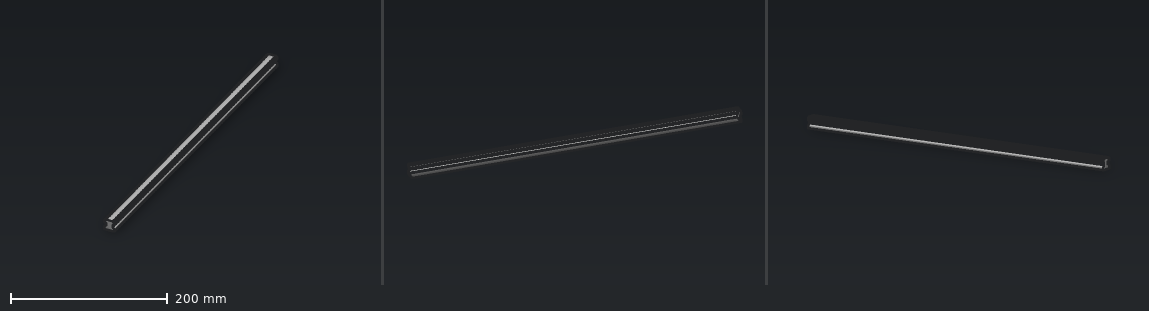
import cadquery as cq
import math

rail_width = 15.0
rail_height = 15.0
rail_length = 450.0

half_top = 5.3
head_mid_height = 12.1
land_height = 1.4
land_chamfer = 0.5
raceway_sag = 0.35

half_neck = 4.75
neck_top_height = 8.5
base_corner_height = 3.5
base_fillet = 1.4
bottom_chamfer = 0.7

slope_angle = math.radians(45)

half_width = rail_width / 2
half_land = land_height / 2
raceway_edge_x = half_width - land_chamfer
raceway_edge_offset = half_land + land_chamfer
neck_bottom_height = base_corner_height + (half_width - half_neck) * math.tan(slope_angle)
fillet_reach = base_fillet * math.tan((math.pi / 2 - slope_angle) / 2)
fillet_slope_run = fillet_reach * math.cos(slope_angle)
fillet_slope_rise = fillet_reach * math.sin(slope_angle)


def raceway_middle(start, end):
    """Middle point of the raceway arc, to the left of the line from start to end."""
    dx = end[0] - start[0]
    dz = end[1] - start[1]
    chord = math.hypot(dx, dz)
    mid_x = (start[0] + end[0]) / 2
    mid_z = (start[1] + end[1]) / 2
    return (mid_x - raceway_sag * dz / chord, mid_z + raceway_sag * dx / chord)


def half_profile():
    """Right half of the cross-section, drawn from the middle of the underside upwards."""
    fillet_start = (half_width, base_corner_height - fillet_reach)
    fillet_end = (half_width - fillet_slope_run, base_corner_height + fillet_slope_rise)
    neck_top = (half_neck, neck_top_height)
    lower_raceway_edge = (raceway_edge_x, head_mid_height - raceway_edge_offset)
    upper_raceway_edge = (raceway_edge_x, head_mid_height + raceway_edge_offset)
    top_edge = (half_top, rail_height)
    return (
        cq.Workplane("XZ")
        .lineTo(half_width - bottom_chamfer, 0)
        .lineTo(half_width, bottom_chamfer)
        .lineTo(*fillet_start)
        .tangentArcPoint(fillet_end, relative=False)
        .lineTo(half_neck, neck_bottom_height)
        .lineTo(*neck_top)
        .threePointArc(raceway_middle(neck_top, lower_raceway_edge), lower_raceway_edge)
        .lineTo(half_width, head_mid_height - half_land)
        .lineTo(half_width, head_mid_height + half_land)
        .lineTo(*upper_raceway_edge)
        .threePointArc(raceway_middle(upper_raceway_edge, top_edge), top_edge)
        .lineTo(0, rail_height)
        .close()
    )


def rail():
    """Both mirrored halves of the profile run along Y, centred on Y = 0."""
    right_half = half_profile().extrude(rail_length / 2, both=True)
    return right_half.union(right_half.mirror("YZ")).clean()


result = rail()